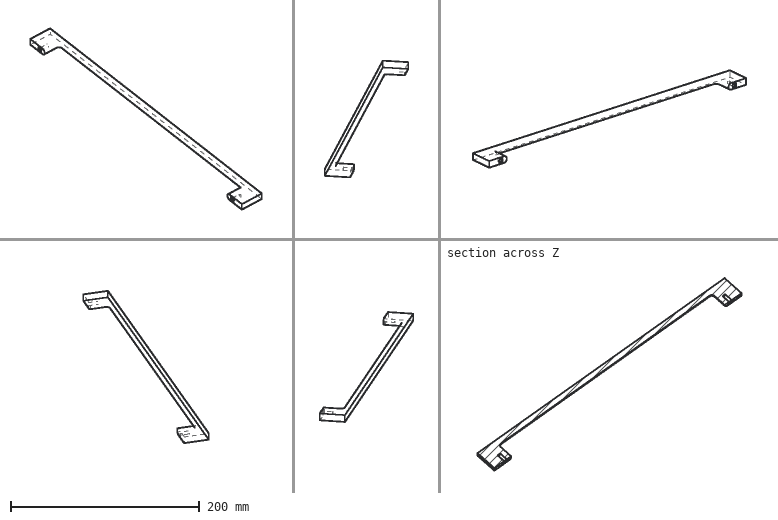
import cadquery as cq

length = 352.0
depth = 27.5
height = 7.7
leg_width = 24.3
bar_depth = 7.5
inner_corner_radius = 3.0
hole_spacing = 320.0
hole_diameter = 3.25
hole_depth = 10.5
hole_chamfer = 1.0

nose_radius = height / 2
flat_leg_width = leg_width - nose_radius
flat_bar_depth = bar_depth - nose_radius
flat_corner_radius = inner_corner_radius + nose_radius

half_length = length / 2
flat_leg_x = half_length - flat_leg_width
flat_bar_y = depth - flat_bar_depth
bend_x = flat_leg_x - flat_corner_radius
bend_y = flat_bar_y - flat_corner_radius


def make_flat_body():
    """U-shaped plate, up to the line where the round nose starts."""
    return (
        cq.Workplane("XY", origin=(0, 0, -height / 2))
        .moveTo(-half_length, 0)
        .lineTo(-flat_leg_x, 0)
        .lineTo(-flat_leg_x, bend_y)
        .radiusArc((-bend_x, flat_bar_y), flat_corner_radius)
        .lineTo(bend_x, flat_bar_y)
        .radiusArc((flat_leg_x, bend_y), flat_corner_radius)
        .lineTo(flat_leg_x, 0)
        .lineTo(half_length, 0)
        .lineTo(half_length, depth)
        .lineTo(-half_length, depth)
        .close()
        .extrude(height)
    )


def make_round_nose():
    """Half-round edge swept along the inside of both legs and the bar."""
    path = (
        cq.Workplane("XY")
        .moveTo(-flat_leg_x, 0)
        .lineTo(-flat_leg_x, bend_y)
        .radiusArc((-bend_x, flat_bar_y), flat_corner_radius)
        .lineTo(bend_x, flat_bar_y)
        .radiusArc((flat_leg_x, bend_y), flat_corner_radius)
        .lineTo(flat_leg_x, 0)
    )
    return (
        cq.Workplane("XZ", origin=(-flat_leg_x, 0, 0))
        .moveTo(0, -nose_radius)
        .threePointArc((nose_radius, 0), (0, nose_radius))
        .close()
        .sweep(path)
    )


def make_screw_hole(x):
    """Blind screw hole into a foot, with a chamfered mouth."""
    mouth = cq.Workplane("XZ", origin=(x, 0, 0))
    bore = mouth.circle(hole_diameter / 2).extrude(-hole_depth)
    chamfer = (
        mouth.circle(hole_diameter / 2 + hole_chamfer)
        .workplane(offset=-hole_chamfer)
        .circle(hole_diameter / 2)
        .loft()
    )
    return bore.union(chamfer)


result = make_flat_body().union(make_round_nose())
for side in (-1, 1):
    result = result.cut(make_screw_hole(side * hole_spacing / 2))